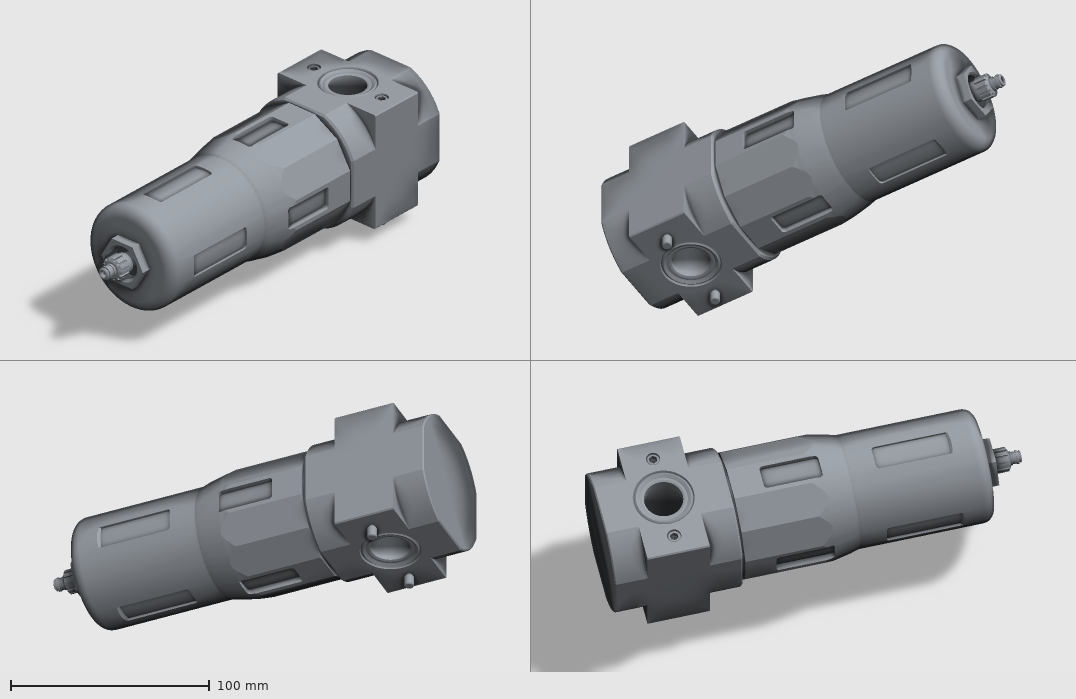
import cadquery as cq
import math


OVERALL_LENGTH = 218.0

HEAD_WIDTH = 66.0
HEAD_HALF = HEAD_WIDTH / 2
HEAD_FLAT_WIDTH = 27.0
HEAD_RADIUS = math.hypot(HEAD_HALF, HEAD_FLAT_WIDTH / 2)
HEAD_BACK = HEAD_HALF
HEAD_FRONT = -33.4
HEAD_EDGE_CHAMFER = 0.7
ARM_WIDTH = 32.3
FRONT_CHAMFER = 1.0
NECK_DIAMETER = 62.0

BOWL_TOP = -34.7
GRIP_SIDES = 12
GRIP_FLAT_DISTANCE = 32.5
GRIP_CORNER_RADIUS = GRIP_FLAT_DISTANCE / math.cos(math.pi / GRIP_SIDES)
TAPER_TOP = -74.8
TAPER_CURVE_TOP = -78.0
TAPER_CURVE_RADIUS = 33.0
TAPER_MIDDLE = -81.0
TAPER_END = -94.8
BOWL_DIAMETER = 58.6
BOWL_RADIUS = BOWL_DIAMETER / 2
BOWL_END = -165.5
BOWL_END_FILLET = 6.0

WINDOWS_AROUND = 4
WINDOW_WIDTH = 12.6
WINDOW_CORNER = 1.7
UPPER_WINDOW_TOP = -50.8
UPPER_WINDOW_END = -81.0
UPPER_FLOOR_RADIUS = 29.9
LOWER_WINDOW_TOP = -108.8
LOWER_WINDOW_END = -149.0
LOWER_FLOOR_RADIUS = 28.0
LOWER_WINDOW_SLOPE = 1.5

HEX_FLATS = 24.2
HEX_LENGTH = 5.0
HEX_END = BOWL_END - HEX_LENGTH
RECESS_MOUTH_DIAMETER = 20.3
RECESS_DIAMETER = 18.0
RECESS_CHAMFER_DEPTH = 1.0
RECESS_DEPTH = 6.5
RECESS_FLOOR = HEX_END + RECESS_DEPTH

PORT_MOUTH_DIAMETER = 31.2
GROOVE_BOTTOM_DIAMETER = 30.0
GROOVE_DEPTH = 1.0
LIP_DIAMETER = 28.0
LIP_DEPTH = 0.2
PORT_LEDGE_DEPTH = 1.3
PORT_LEDGE_OUTER_DIAMETER = 24.5
PORT_LEDGE_INNER_DIAMETER = 22.0
PORT_BORE_DIAMETER = 19.8
PORT_BORE_DEPTH = 1.7

SCREW_OFFSET = 22.9
SCREW_PLACES = (-SCREW_OFFSET, SCREW_OFFSET)
SCREW_DIAMETER = 5.0
SCREW_UNDERCUT_DIAMETER = 3.7
SCREW_UNDERCUT_LENGTH = 1.3
SCREW_PROTRUSION = 6.8
SCREW_TIP_CHAMFER = 0.5
SCREW_HEAD_DIAMETER = 7.0
SCREW_HEAD_HEIGHT = 5.0
SCREW_HEAD_CHAMFER = 0.7
SCREW_HEAD_SINK = 0.7
SCREW_HOLE_DIAMETER = 7.2
SOCKET_FLATS = 4.0
SOCKET_DEPTH = 2.6
SOCKET_TIP_DEPTH = 1.0
SCREW_TOP = HEAD_HALF - SCREW_HEAD_SINK
SCREW_SEAT = SCREW_TOP - SCREW_HEAD_HEIGHT

DRAIN_TIP = HEAD_BACK - OVERALL_LENGTH
DRAIN_STEM_DIAMETER = 9.0
DRAIN_NECK_DIAMETER = 11.1
DRAIN_NECK_TOP = -168.5
KNOB_DIAMETER = 12.6
KNOB_TOP = -171.5
KNOB_END = -177.7
KNOB_END_DIAMETER = DRAIN_STEM_DIAMETER
KNOB_TAPER_LENGTH = 1.0
TEETH = 12
TOOTH_GAP_WIDTH = 1.0
TOOTH_GAP_DEPTH = 1.0
COLLAR_DIAMETER = 7.2
COLLAR_END = -180.0
NIPPLE_DIAMETER = 6.3
NIPPLE_GROOVE_DIAMETER = 5.7
BARB_TOP = -182.2
BARB_END = -183.3
TIP_RING_TOP = -184.2
TIP_FACE_DIAMETER = 5.0
TIP_CHAMFER_LENGTH = 0.5
DRAIN_MOUTH_DIAMETER = 4.1
DRAIN_MOUTH_DEPTH = 0.7
DRAIN_BORE_DIAMETER = 3.0
DRAIN_BORE_DEPTH = 4.4


def turned_about_y(points):
    """Solid of revolution about Y from (radius, y) points."""
    return cq.Workplane("XY").polyline(points).close().revolve(360, (0, 0), (0, 1))


def turned_about_z(points):
    """Solid of revolution about Z from (radius, z) points."""
    return cq.Workplane("XZ").polyline(points).close().revolve(360, (0, 0), (0, 1))


def hexagon_diameter(flats):
    """Corner diameter of a hexagon with the given distance across flats."""
    return flats / math.cos(math.pi / 6)


def make_head():
    barrel = (
        cq.Workplane("XZ", origin=(0, HEAD_BACK, 0))
        .circle(HEAD_RADIUS)
        .extrude(HEAD_BACK - HEAD_FRONT)
    )
    square = cq.Workplane("XY").box(HEAD_WIDTH, 2 * HEAD_WIDTH, HEAD_WIDTH)
    rounded = barrel.intersect(square)
    rounded = rounded.faces(">Y").chamfer(HEAD_EDGE_CHAMFER)
    rounded = rounded.faces("<Y").chamfer(FRONT_CHAMFER)
    arm = (
        cq.Workplane("XY")
        .box(HEAD_WIDTH, ARM_WIDTH, HEAD_WIDTH)
        .edges("|Y")
        .chamfer(HEAD_EDGE_CHAMFER)
    )
    neck = (
        cq.Workplane("XZ", origin=(0, HEAD_FRONT, 0))
        .circle(NECK_DIAMETER / 2)
        .extrude(HEAD_FRONT - BOWL_TOP)
    )
    return rounded.union(arm).union(neck)


def bowl_envelope():
    """Turned outline of the bowl: taper below the grip, straight wall, rounded end."""
    return (
        cq.Workplane("XY")
        .moveTo(0, BOWL_TOP)
        .lineTo(GRIP_CORNER_RADIUS, BOWL_TOP)
        .lineTo(GRIP_CORNER_RADIUS, TAPER_TOP)
        .lineTo(TAPER_CURVE_RADIUS, TAPER_CURVE_TOP)
        .threePointArc((GRIP_FLAT_DISTANCE, TAPER_MIDDLE), (BOWL_RADIUS, TAPER_END))
        .lineTo(BOWL_RADIUS, BOWL_END)
        .lineTo(0, BOWL_END)
        .close()
        .revolve(360, (0, 0), (0, 1))
        .faces("<Y")
        .edges()
        .fillet(BOWL_END_FILLET)
    )


def grip_prism():
    """Twelve-sided prism with flats facing X and Z."""
    return (
        cq.Workplane("XZ", origin=(0, BOWL_TOP, 0))
        .transformed(rotate=(0, 0, 180 / GRIP_SIDES))
        .polygon(GRIP_SIDES, 2 * GRIP_CORNER_RADIUS)
        .extrude(BOWL_TOP - BOWL_END)
    )


def window_cutter(top, end, floor_radius, end_slope):
    """Cutter for a pocket facing +Z with a round floor; its wall at the -Y end may slope."""
    length = top - end
    block = (
        cq.Workplane("XY", origin=(0, (top + end) / 2, 0))
        .rect(WINDOW_WIDTH, length)
        .extrude(HEAD_HALF)
        .edges("|Z")
        .fillet(WINDOW_CORNER)
    )
    if end_slope > 0:
        lean = (
            cq.Workplane("YZ")
            .polyline([
                (end, BOWL_RADIUS),
                (end + end_slope, floor_radius),
                (end + end_slope, 0),
                (end, 0),
            ])
            .close()
            .extrude(WINDOW_WIDTH / 2, both=True)
        )
        block = block.cut(lean)
    core = cq.Workplane("XZ", origin=(0, top, 0)).circle(floor_radius).extrude(length)
    return block.cut(core)


def make_bowl():
    bowl = bowl_envelope().intersect(grip_prism())
    upper = window_cutter(UPPER_WINDOW_TOP, UPPER_WINDOW_END, UPPER_FLOOR_RADIUS, 0)
    lower = window_cutter(LOWER_WINDOW_TOP, LOWER_WINDOW_END, LOWER_FLOOR_RADIUS, LOWER_WINDOW_SLOPE)
    for place in range(WINDOWS_AROUND):
        for window in (upper, lower):
            bowl = bowl.cut(window.rotate((0, 0, 0), (0, 1, 0), place * 360 / WINDOWS_AROUND))
    hexagon = (
        cq.Workplane("XZ", origin=(0, BOWL_END, 0))
        .polygon(6, hexagon_diameter(HEX_FLATS))
        .extrude(HEX_LENGTH)
    )
    recess = turned_about_y([
        (0, HEX_END),
        (RECESS_MOUTH_DIAMETER / 2, HEX_END),
        (RECESS_DIAMETER / 2, HEX_END + RECESS_CHAMFER_DEPTH),
        (RECESS_DIAMETER / 2, RECESS_FLOOR),
        (0, RECESS_FLOOR),
    ])
    return bowl.union(hexagon).cut(recess)


def port_cutter():
    """Through port with the same stepped mouth at both ends."""
    face = HEAD_HALF
    mouth_half = [
        (PORT_MOUTH_DIAMETER / 2, face),
        (GROOVE_BOTTOM_DIAMETER / 2, face - GROOVE_DEPTH),
        (LIP_DIAMETER / 2, face - LIP_DEPTH),
        (PORT_LEDGE_OUTER_DIAMETER / 2, face - PORT_LEDGE_DEPTH),
        (PORT_LEDGE_INNER_DIAMETER / 2, face - PORT_LEDGE_DEPTH),
        (PORT_BORE_DIAMETER / 2, face - PORT_BORE_DEPTH),
    ]
    mirrored = [(radius, -height) for radius, height in reversed(mouth_half)]
    return turned_about_z([(0, face)] + mouth_half + mirrored + [(0, -face)])


def screw_hole(x):
    """Clearance for one screw: counterbore for the head and a close hole for the shank."""
    return turned_about_z([
        (0, HEAD_HALF),
        (SCREW_HOLE_DIAMETER / 2, HEAD_HALF),
        (SCREW_HOLE_DIAMETER / 2, SCREW_SEAT),
        (SCREW_DIAMETER / 2, SCREW_SEAT),
        (SCREW_DIAMETER / 2, -HEAD_HALF),
        (0, -HEAD_HALF),
    ]).translate((x, 0, 0))


def make_housing():
    housing = make_head().union(make_bowl()).cut(port_cutter())
    for x in SCREW_PLACES:
        housing = housing.cut(screw_hole(x))
    return housing


def make_screw(x):
    tip = -HEAD_HALF - SCREW_PROTRUSION
    undercut_end = -HEAD_HALF - SCREW_UNDERCUT_LENGTH
    head_radius = SCREW_HEAD_DIAMETER / 2
    shank_radius = SCREW_DIAMETER / 2
    undercut_radius = SCREW_UNDERCUT_DIAMETER / 2
    screw = turned_about_z([
        (0, SCREW_TOP),
        (head_radius - SCREW_HEAD_CHAMFER, SCREW_TOP),
        (head_radius, SCREW_TOP - SCREW_HEAD_CHAMFER),
        (head_radius, SCREW_SEAT),
        (shank_radius, SCREW_SEAT),
        (shank_radius, -HEAD_HALF),
        (undercut_radius, -HEAD_HALF),
        (undercut_radius, undercut_end),
        (shank_radius, undercut_end),
        (shank_radius, tip + SCREW_TIP_CHAMFER),
        (shank_radius - SCREW_TIP_CHAMFER, tip),
        (0, tip),
    ])
    socket_floor = SCREW_TOP - SOCKET_DEPTH
    socket = (
        cq.Workplane("XY", origin=(0, 0, socket_floor))
        .polygon(6, hexagon_diameter(SOCKET_FLATS))
        .extrude(SOCKET_DEPTH)
    )
    socket_tip = turned_about_z([
        (0, socket_floor),
        (SOCKET_FLATS / 2, socket_floor),
        (0, socket_floor - SOCKET_TIP_DEPTH),
    ])
    return screw.cut(socket).cut(socket_tip).translate((x, 0, 0))


def make_drain():
    drain = turned_about_y([
        (0, RECESS_FLOOR),
        (DRAIN_STEM_DIAMETER / 2, RECESS_FLOOR),
        (DRAIN_STEM_DIAMETER / 2, DRAIN_NECK_TOP),
        (DRAIN_NECK_DIAMETER / 2, DRAIN_NECK_TOP),
        (DRAIN_NECK_DIAMETER / 2, KNOB_TOP),
        (KNOB_DIAMETER / 2, KNOB_TOP),
        (KNOB_DIAMETER / 2, KNOB_END),
        (KNOB_END_DIAMETER / 2, KNOB_END - KNOB_TAPER_LENGTH),
        (COLLAR_DIAMETER / 2, KNOB_END - KNOB_TAPER_LENGTH),
        (COLLAR_DIAMETER / 2, COLLAR_END),
        (NIPPLE_DIAMETER / 2, COLLAR_END),
        (NIPPLE_DIAMETER / 2, BARB_TOP),
        (COLLAR_DIAMETER / 2, BARB_TOP),
        (COLLAR_DIAMETER / 2, BARB_END),
        (NIPPLE_GROOVE_DIAMETER / 2, BARB_END),
        (NIPPLE_GROOVE_DIAMETER / 2, TIP_RING_TOP),
        (NIPPLE_DIAMETER / 2, TIP_RING_TOP),
        (NIPPLE_DIAMETER / 2, DRAIN_TIP + TIP_CHAMFER_LENGTH),
        (TIP_FACE_DIAMETER / 2, DRAIN_TIP),
        (0, DRAIN_TIP),
    ])
    gap_length = KNOB_TOP - KNOB_END + KNOB_TAPER_LENGTH
    gap = cq.Workplane("XY").box(TOOTH_GAP_WIDTH, gap_length, 2 * TOOTH_GAP_DEPTH).translate(
        (0, KNOB_TOP - gap_length / 2, KNOB_DIAMETER / 2)
    )
    for tooth in range(TEETH):
        drain = drain.cut(gap.rotate((0, 0, 0), (0, 1, 0), (tooth + 0.5) * 360 / TEETH))
    bore = turned_about_y([
        (0, DRAIN_TIP),
        (DRAIN_MOUTH_DIAMETER / 2, DRAIN_TIP),
        (DRAIN_BORE_DIAMETER / 2, DRAIN_TIP + DRAIN_MOUTH_DEPTH),
        (DRAIN_BORE_DIAMETER / 2, DRAIN_TIP + DRAIN_BORE_DEPTH),
        (0, DRAIN_TIP + DRAIN_BORE_DEPTH),
    ])
    return drain.cut(bore)


housing = make_housing()
drain = make_drain()
screws = [make_screw(x) for x in SCREW_PLACES]

result = cq.Compound.makeCompound([
    housing.val(),
    drain.val(),
    *[screw.val() for screw in screws],
])